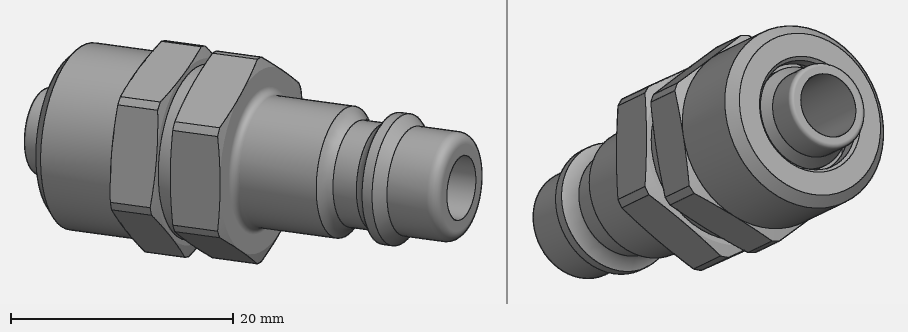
import cadquery as cq
import math

total_length = 42.0
nut_start = 3.05
nut_hex_start = 11.05
nut_end = 15.55
body_hex_start = 17.0
body_hex_end = 22.0

across_flats = 17.0
corner_diameter = 19.17
hex_chamfer_angle = 13.0
nut_corner_angle = 20.0
body_corner_angle = 30.0

nut_diameter = 17.0
nut_chamfer = 0.95
tube_hole_diameter = 10.2
tube_hole_chamfer = 0.3
nut_lip_thickness = 1.5

joint_diameter = 14.6
joint_start = 9.0

bore_diameter = 5.9
stub_diameter = 8.0
stub_round = 0.4
stub_cone_start = 3.05
stub_cone_diameter = 9.5
stub_cone_angle = 30.0

collar_diameter = 16.0
plug_diameter = 12.0
plug_fillet = 0.7
neck_diameter = 9.75
groove_arc_radius = 2.5
groove_start = 30.4
groove_end = 35.0
rib_width = 1.0
rib_taper_length = 1.0
tip_diameter = 10.0
tip_round = 1.0


def concave_arc_middle(start, end, radius):
    """Middle of an arc that runs in +X from start to end and sags towards the axis."""
    dx = end[0] - start[0]
    dy = end[1] - start[1]
    chord = math.hypot(dx, dy)
    sag = radius - math.sqrt(radius**2 - (chord / 2) ** 2)
    middle_x = (start[0] + end[0]) / 2 + sag * dy / chord
    middle_y = (start[1] + end[1]) / 2 - sag * dx / chord
    return middle_x, middle_y


def revolve_about_x(profile):
    return profile.close().revolve(360, (0, 0, 0), (1, 0, 0))


def cylinder(diameter, start, end):
    return cq.Workplane("YZ", origin=(start, 0, 0)).circle(diameter / 2).extrude(end - start)


def hexagon(start, end, corner_angle):
    """Hexagonal prism with turned corners and a shallow cone on both ends."""
    prism = (
        cq.Workplane("YZ", origin=(start, 0, 0))
        .transformed(rotate=(0, 0, corner_angle))
        .polygon(6, across_flats / math.cos(math.pi / 6))
        .extrude(end - start)
    )
    flat_radius = across_flats / 2
    corner_radius = corner_diameter / 2
    chamfer_depth = (corner_radius - flat_radius) * math.tan(math.radians(hex_chamfer_angle))
    turned_envelope = revolve_about_x(
        cq.Workplane("XY")
        .moveTo(start, 0)
        .lineTo(start, flat_radius)
        .lineTo(start + chamfer_depth, corner_radius)
        .lineTo(end - chamfer_depth, corner_radius)
        .lineTo(end, flat_radius)
        .lineTo(end, 0)
    )
    return prism.intersect(turned_envelope)


def make_clamping_nut():
    sleeve = cylinder(nut_diameter, nut_start, nut_hex_start).faces("<X").chamfer(nut_chamfer)
    nut = sleeve.union(hexagon(nut_hex_start, nut_end, nut_corner_angle))
    tube_hole = cylinder(tube_hole_diameter, nut_start, nut_end)
    joint_cavity = cylinder(joint_diameter, nut_start + nut_lip_thickness, nut_end)
    nut = nut.cut(tube_hole).cut(joint_cavity)
    hole_rim = cq.selectors.RadiusNthSelector(0)
    return nut.faces("<X").edges(hole_rim).chamfer(tube_hole_chamfer)


def make_hose_stub():
    stub_radius = stub_diameter / 2
    cone_radius = stub_cone_diameter / 2
    cone_length = (cone_radius - stub_radius) / math.tan(math.radians(stub_cone_angle))
    stub = revolve_about_x(
        cq.Workplane("XY")
        .lineTo(0, stub_radius)
        .lineTo(stub_cone_start, stub_radius)
        .lineTo(stub_cone_start + cone_length, cone_radius)
        .lineTo(joint_start, cone_radius)
        .lineTo(joint_start, 0)
    )
    return stub.faces("<X").edges().fillet(stub_round)


def make_plug():
    plug_radius = plug_diameter / 2
    neck_radius = neck_diameter / 2
    tip_radius = tip_diameter / 2
    flank_length = plug_radius - neck_radius
    fillet_offset = plug_fillet * (1 - math.sqrt(0.5))
    rib_end = groove_end + rib_width

    flank_1 = ((groove_start, plug_radius), (groove_start + flank_length, neck_radius))
    flank_2 = ((groove_end - flank_length, neck_radius), (groove_end, plug_radius))

    plug = revolve_about_x(
        cq.Workplane("XY")
        .moveTo(body_hex_end, 0)
        .lineTo(body_hex_end, plug_radius + plug_fillet)
        .threePointArc(
            (body_hex_end + fillet_offset, plug_radius + fillet_offset),
            (body_hex_end + plug_fillet, plug_radius),
        )
        .lineTo(*flank_1[0])
        .threePointArc(concave_arc_middle(*flank_1, groove_arc_radius), flank_1[1])
        .lineTo(*flank_2[0])
        .threePointArc(concave_arc_middle(*flank_2, groove_arc_radius), flank_2[1])
        .lineTo(rib_end, plug_radius)
        .lineTo(rib_end + rib_taper_length, tip_radius)
        .lineTo(total_length, tip_radius)
        .lineTo(total_length, 0)
    )
    return plug.faces(">X").edges().fillet(tip_round)


def make_body():
    body = (
        make_hose_stub()
        .union(cylinder(joint_diameter, joint_start, nut_end))
        .union(cylinder(collar_diameter, nut_end, body_hex_start))
        .union(hexagon(body_hex_start, body_hex_end, body_corner_angle))
        .union(make_plug())
    )
    return body.cut(cylinder(bore_diameter, 0, total_length))


clamping_nut = make_clamping_nut()
body = make_body()
result = cq.Compound.makeCompound([clamping_nut.val(), body.val()])